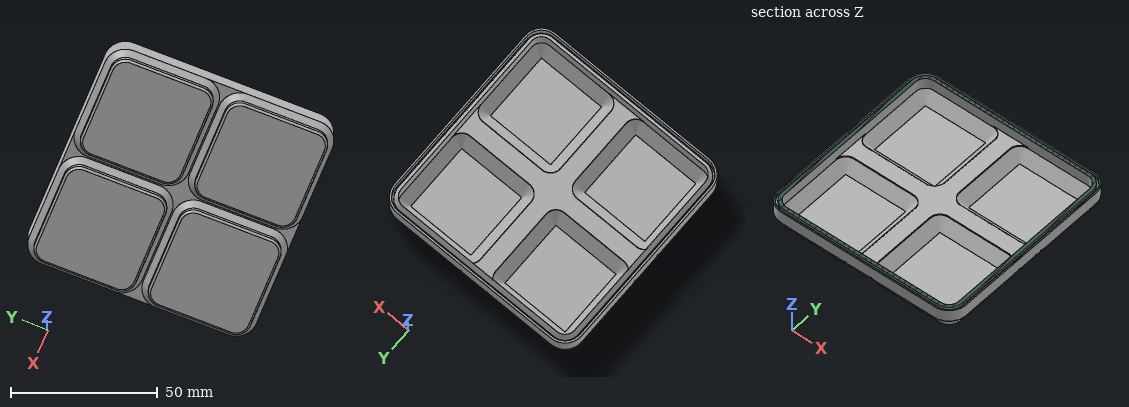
import cadquery as cq
import math

GRID = 2
PITCH = 42.0
CLEARANCE = 0.5
HEIGHT = 12.75
CORNER_RADIUS = 7.5

FOOT_LOWER_CHAMFER = 0.8
FOOT_STRAIGHT = 1.8
FOOT_UPPER_CHAMFER = 2.15

LIP_WIDTH = 0.8
GROOVE_FLOOR_WIDTH = 0.7
RIDGE_SLOPE_HEIGHT = 1.9
GROOVE_STRAIGHT = 1.8
WALL = 3.1

FLOOR_THICKNESS = 1.0
POCKET_SLOPE = 4.25
POCKET_STEP = 0.5

CELL = PITCH - CLEARANCE
BODY = GRID * PITCH - CLEARANCE
FOOT_HEIGHT = FOOT_LOWER_CHAMFER + FOOT_STRAIGHT + FOOT_UPPER_CHAMFER
GROOVE_FLOOR_INSET = LIP_WIDTH + GROOVE_FLOOR_WIDTH
SLOPE_TOP_Z = FLOOR_THICKNESS + POCKET_SLOPE
DECK_Z = SLOPE_TOP_Z + POCKET_STEP

CELL_OFFSETS = [(i - (GRID - 1) / 2) * PITCH for i in range(GRID)]
CELL_CENTERS = [(x, y) for x in CELL_OFFSETS for y in CELL_OFFSETS]


def block(size, inset, z, height, top_inset=None):
    """Rounded square block on z, set in from a square of the given size.

    The sides stand straight, or lean evenly to top_inset at the top.
    """
    side = size - 2 * inset
    outline = cq.Sketch().rect(side, side).vertices().fillet(CORNER_RADIUS - inset)
    lean = 0 if top_inset is None else math.degrees(math.atan2(top_inset - inset, height))
    return cq.Workplane("XY", origin=(0, 0, z)).placeSketch(outline).extrude(height, taper=lean)


def foot():
    """One cell's foot, centred on the Z axis."""
    straight_z = FOOT_LOWER_CHAMFER
    flare_z = straight_z + FOOT_STRAIGHT
    bottom_inset = FOOT_UPPER_CHAMFER + FOOT_LOWER_CHAMFER
    tip = block(CELL, bottom_inset, 0, FOOT_LOWER_CHAMFER, FOOT_UPPER_CHAMFER)
    band = block(CELL, FOOT_UPPER_CHAMFER, straight_z, FOOT_STRAIGHT)
    flare = block(CELL, FOOT_UPPER_CHAMFER, flare_z, FOOT_UPPER_CHAMFER, 0)
    return tip.union(band).union(flare)


def pocket():
    """Room of one pocket: sloping sides below a low straight step, up to the ribs."""
    inverted_slope = block(CELL, WALL, 0, POCKET_SLOPE, WALL + POCKET_SLOPE)
    slope = inverted_slope.rotate((0, 0, 0), (1, 0, 0), 180).translate((0, 0, SLOPE_TOP_Z))
    return slope.union(block(CELL, WALL, SLOPE_TOP_Z, POCKET_STEP))


def groove():
    """Ring removed from the top of the rim, between the lip and the sloped ridge."""
    slope_z = HEIGHT - RIDGE_SLOPE_HEIGHT
    bottom_z = slope_z - GROOVE_STRAIGHT
    ridge_foot = block(BODY, GROOVE_FLOOR_INSET, bottom_z, GROOVE_STRAIGHT)
    ridge = block(BODY, GROOVE_FLOOR_INSET, slope_z, RIDGE_SLOPE_HEIGHT, WALL)
    room = block(BODY, LIP_WIDTH, bottom_z, HEIGHT - bottom_z)
    return room.cut(ridge_foot.union(ridge))


result = block(BODY, 0, FOOT_HEIGHT, HEIGHT - FOOT_HEIGHT)
for x, y in CELL_CENTERS:
    result = result.union(foot().translate((x, y, 0)))

result = result.cut(block(BODY, WALL, DECK_Z, HEIGHT - DECK_Z))
for x, y in CELL_CENTERS:
    result = result.cut(pocket().translate((x, y, 0)))

result = result.cut(groove())